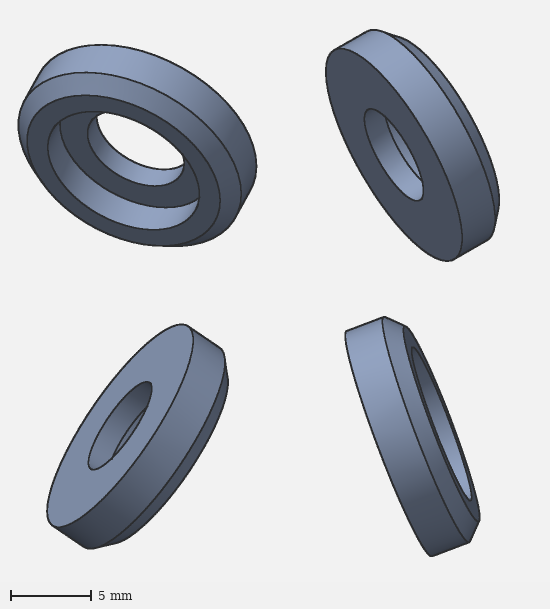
import cadquery as cq

outer_diameter = 15.0
thickness = 3.5
chamfer_size = 1.0
hole_diameter = 6.5
counterbore_diameter = 10.2
counterbore_depth = 2.0

disc = cq.Workplane("XZ").circle(outer_diameter / 2).extrude(thickness)
chamfered_disc = disc.faces("<Y").edges().chamfer(chamfer_size)

result = (
    chamfered_disc.faces("<Y")
    .workplane()
    .cboreHole(hole_diameter, counterbore_diameter, counterbore_depth)
)